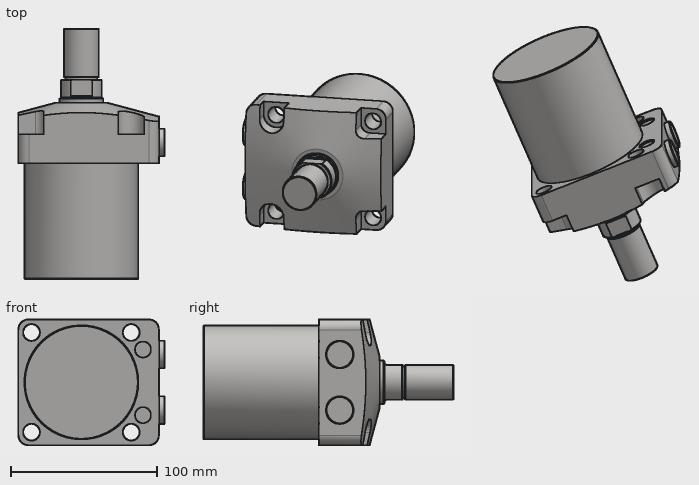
import cadquery as cq
import math


flange_height = 86.0
flange_width = 96.1
port_side_x = 53.0
plain_side_x = port_side_x - flange_width
side_z = flange_height / 2
corner_radius = 7.0
crown_height = 41.4
crown_flat_radius = 18.0
crown_angle = 15.0

barrel_radius = 39.0
barrel_length = 79.0
barrel_chamfer = 0.5

bolt_offset = 34.0
bolt_hole_diameter = 11.3
seat_height = 20.0
seat_radius = 8.9
seat_notch_offset = 25.6
seat_corner_radius = 6.0

port_recess_x = 42.0
port_recess_z = 22.4
port_recess_diameter = 11.0
port_recess_depth = 1.2

rod_diameter = 30.0
rod_radius = rod_diameter / 2
rod_shoulder_start = 44.0
collar_radius = 14.0
collar_start = 45.0
collar_end = 57.1
neck_radius = 11.0
thread_radius = 12.0
thread_start = 58.7
rod_end = 92.0
rod_chamfer = 0.5
wrench_half_width = 12.0
wrench_flat_start = 46.0
wrench_ramp_rise = 0.7

plug_diameter = 19.0
plug_length = 4.0
plug_chamfer = 0.5
plug_y = 14.2
plug_z = 19.0


def cylinder_y(x, z, diameter, y_start, y_end):
    """Cylinder parallel to Y between two Y positions."""
    plane = cq.Workplane("XZ", origin=(x, y_start, z))
    return plane.circle(diameter / 2).extrude(y_start - y_end)


def box_between(x_range, y_range, z_range):
    """Box given by its limits along each axis."""
    sizes = [high - low for low, high in (x_range, y_range, z_range)]
    corner = (x_range[0], y_range[0], z_range[0])
    return cq.Workplane("XY", origin=corner).box(*sizes, centered=False)


def make_flange():
    """Rounded block whose top is a shallow cone."""
    block = box_between(
        (plain_side_x, port_side_x), (0, crown_height), (-side_z, side_z)
    ).edges("|Y").fillet(corner_radius)
    crown_radius = port_side_x + side_z
    crown_drop = (crown_radius - crown_flat_radius) * math.tan(math.radians(crown_angle))
    crown = (
        cq.Workplane("XY")
        .polyline([
            (0, 0),
            (crown_radius, 0),
            (crown_radius, crown_height - crown_drop),
            (crown_flat_radius, crown_height),
            (0, crown_height),
        ])
        .close()
        .revolve(360, (0, 0), (0, 1))
    )
    return block.intersect(crown)


def make_barrel():
    """Round barrel below the mounting face, chamfered at its closed end."""
    barrel = cylinder_y(0, 0, 2 * barrel_radius, -barrel_length, 0)
    return barrel.faces("<Y").chamfer(barrel_chamfer)


def make_corner_seat(side):
    """Cutter on the -X side: a notch open to -X and to the Z side, round in its inner corner."""
    inner = seat_notch_offset
    outer = flange_height
    z_range = sorted((side * inner, side * outer))
    notch = box_between((-outer, -inner), (seat_height, crown_height), z_range)
    inner_edge = ">X and <Z" if side > 0 else ">X and >Z"
    return notch.edges("|Y").edges(inner_edge).fillet(seat_corner_radius)


def make_slot_seat(side):
    """Cutter on the +X side: a round-ended slot open to the Z side."""
    round_end = cylinder_y(bolt_offset, side * bolt_offset, 2 * seat_radius, seat_height, crown_height)
    mouth = box_between(
        (bolt_offset - seat_radius, bolt_offset + seat_radius),
        (seat_height, crown_height),
        sorted((side * bolt_offset, side * (side_z + seat_radius))),
    )
    return round_end.union(mouth)


def make_housing():
    """Flange and barrel in one piece, with mounting holes, seats and port recesses."""
    housing = make_flange().union(make_barrel())
    for side in (1, -1):
        housing = housing.cut(make_corner_seat(side)).cut(make_slot_seat(side))
        for bolt_x in (-bolt_offset, bolt_offset):
            hole = cylinder_y(bolt_x, side * bolt_offset, bolt_hole_diameter, 0, crown_height)
            housing = housing.cut(hole)
        recess = cylinder_y(
            port_recess_x, side * port_recess_z, port_recess_diameter, 0, port_recess_depth
        )
        housing = housing.cut(recess)
    return housing


def make_wrench_cut(side):
    """Cutter for one wrench flat, with a short ramp at its lower end."""
    flat_z = wrench_half_width
    ramp_z = flat_z + wrench_ramp_rise
    outer_z = rod_radius
    outline = [
        (collar_end, side * flat_z),
        (wrench_flat_start, side * flat_z),
        (collar_start, side * ramp_z),
        (collar_start, side * outer_z),
        (collar_end, side * outer_z),
    ]
    return cq.Workplane("YZ").polyline(outline).close().extrude(rod_radius, both=True)


def make_rod():
    """Turned rod standing on the crown, with two wrench flats on its collar."""
    rod = (
        cq.Workplane("XY")
        .polyline([
            (0, crown_height),
            (rod_radius, crown_height),
            (rod_radius, rod_shoulder_start),
            (collar_radius, collar_start),
            (collar_radius, collar_end - rod_chamfer),
            (collar_radius - rod_chamfer, collar_end),
            (neck_radius, collar_end),
            (neck_radius, thread_start),
            (thread_radius - rod_chamfer, thread_start),
            (thread_radius, thread_start + rod_chamfer),
            (thread_radius, rod_end - rod_chamfer),
            (thread_radius - rod_chamfer, rod_end),
            (0, rod_end),
        ])
        .close()
        .revolve(360, (0, 0), (0, 1))
    )
    for side in (1, -1):
        rod = rod.cut(make_wrench_cut(side))
    return rod


def make_plug(z):
    """Round port plug seated on the +X side of the flange."""
    plug = cq.Workplane("YZ", origin=(port_side_x, plug_y, z)).circle(plug_diameter / 2).extrude(plug_length)
    return plug.faces(">X").chamfer(plug_chamfer)


housing = make_housing()
rod = make_rod()
plugs = [make_plug(z) for z in (plug_z, -plug_z)]

result = cq.Compound.makeCompound([housing.val(), rod.val(), *[plug.val() for plug in plugs]])